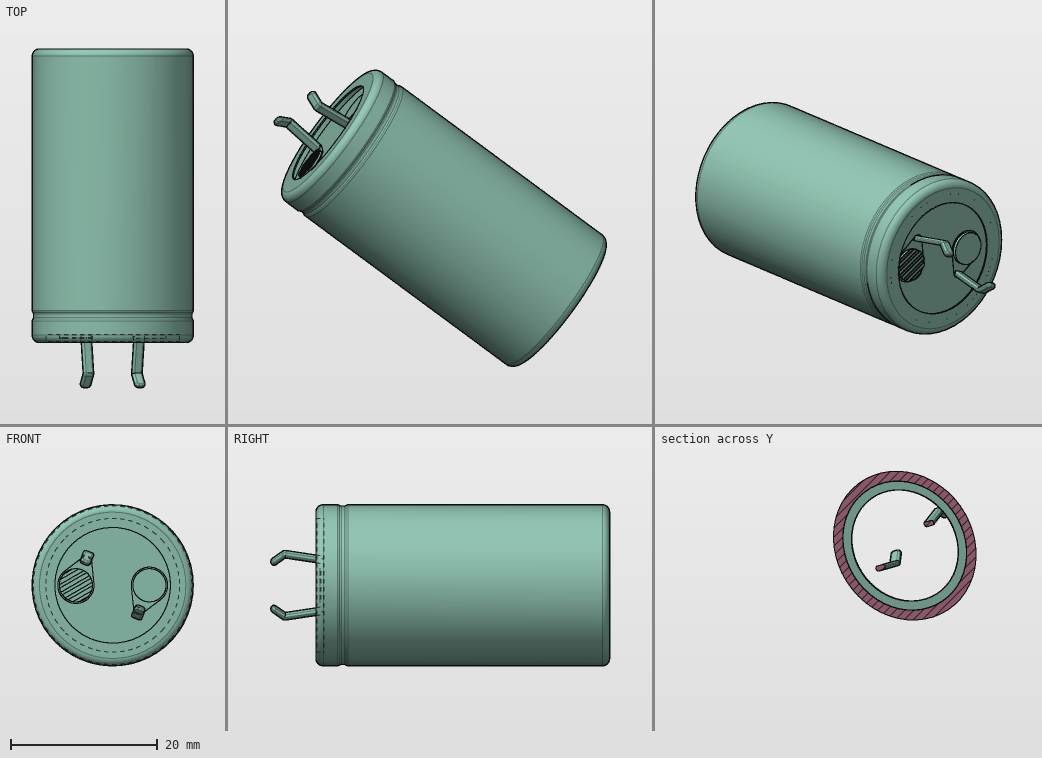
import cadquery as cq
import math


total_length = 46.15
can_length = 40.0
can_diameter = 21.95
end_rounding = 1.0

groove_diameter = 21.6
groove_start = 2.95
groove_flank = 0.5
groove_floor_width = 0.4

mouth_diameter = 15.75
pocket_diameter = 18.23
sleeve_thickness = 0.2
pocket_depth = 1.1

terminal_spacing = 10.0
rivet_diameter = 4.5
rivet_height = 0.5
lug_diameter = 4.95
lug_tip_diameter = 1.48
lug_tip_x = -3.6
lug_tip_z = 3.25
lug_thickness = 0.05

rib_groove_count = 5
rib_groove_width = 0.4
rib_groove_pitch = 0.95
rib_groove_depth = 0.15
rib_groove_angle = 30.0

pin_root_x = -3.55
pin_root_z = 3.6
pin_lean_angle = 68.0
pin_width = 1.48
pin_thickness = 0.75
pin_edge_rounding = 0.28
pin_tip_rounding = 0.5
pin_bend_rounding = 0.75
pin_bend_reach = 4.25
pin_bend_offset = 0.7
pin_hook_angle = 37.0

can_radius = can_diameter / 2
groove_radius = groove_diameter / 2
pin_reach = total_length - can_length
terminal_x = -terminal_spacing / 2


def make_can():
    """Turned can with rounded ends and a soft S-flanked groove near the terminals."""
    flank_mid_radius = (can_radius + groove_radius) / 2
    floor_start = groove_start + groove_flank
    floor_end = floor_start + groove_floor_width
    groove_end = floor_end + groove_flank
    return (
        cq.Workplane("XY")
        .lineTo(can_radius - end_rounding, 0)
        .radiusArc((can_radius, end_rounding), -end_rounding)
        .lineTo(can_radius, groove_start)
        .tangentArcPoint((flank_mid_radius, groove_start + groove_flank / 2), relative=False)
        .tangentArcPoint((groove_radius, floor_start), relative=False)
        .lineTo(groove_radius, floor_end)
        .tangentArcPoint((flank_mid_radius, floor_end + groove_flank / 2), relative=False)
        .tangentArcPoint((can_radius, groove_end), relative=False)
        .lineTo(can_radius, can_length - end_rounding)
        .radiusArc((can_radius - end_rounding, can_length), -end_rounding)
        .lineTo(0, can_length)
        .close()
        .revolve(360, (0, 0, 0), (0, 1, 0))
    )


def terminal_plane(height):
    """Sketch plane facing -Y, raised by height above the pocket floor."""
    return cq.Workplane("XZ", origin=(0, pocket_depth - height, 0))


def make_pocket():
    """Terminal pocket: the sleeve leaves a mouth narrower than the recess behind it."""
    recess_depth = pocket_depth - sleeve_thickness
    mouth = terminal_plane(0).circle(mouth_diameter / 2).extrude(pocket_depth)
    recess = terminal_plane(0).circle(pocket_diameter / 2).extrude(recess_depth)
    return mouth.union(recess)


def make_lug():
    """Thin teardrop plate that joins the rivet to the root of the pin."""
    big = lug_diameter / 2
    small = lug_tip_diameter / 2
    run_x = lug_tip_x - terminal_x
    run_z = lug_tip_z
    axis_angle = math.atan2(run_z, run_x)
    tangent_angle = math.acos((big - small) / math.hypot(run_x, run_z))

    def rim(x, z, radius, angle):
        return (x + radius * math.cos(angle), z + radius * math.sin(angle))

    left = axis_angle + tangent_angle
    right = axis_angle - tangent_angle
    return (
        terminal_plane(0)
        .moveTo(*rim(terminal_x, 0, big, left))
        .threePointArc(rim(terminal_x, 0, big, axis_angle + math.pi), rim(terminal_x, 0, big, right))
        .lineTo(*rim(lug_tip_x, lug_tip_z, small, right))
        .threePointArc(
            rim(lug_tip_x, lug_tip_z, small, axis_angle),
            rim(lug_tip_x, lug_tip_z, small, left),
        )
        .close()
        .extrude(lug_thickness)
    )


def make_rivet():
    return terminal_plane(0).center(terminal_x, 0).circle(rivet_diameter / 2).extrude(rivet_height)


def make_rib_grooves():
    """Parallel shallow grooves that mark the head of the negative rivet."""
    return (
        terminal_plane(rivet_height)
        .center(terminal_x, 0)
        .transformed(rotate=(0, 0, rib_groove_angle))
        .rarray(0.45, rib_groove_pitch, 1, rib_groove_count)
        .rect(rivet_diameter, rib_groove_width)
        .extrude(-rib_groove_depth)
    )


def make_pin():
    """Flat pin that leans sideways to a bend, then hooks back to its tip."""
    half = pin_thickness / 2
    lean = math.atan2(pin_bend_offset, pin_bend_reach)
    hook = math.radians(pin_hook_angle)

    mitre = (hook + lean) / 2
    mitre_half = half / math.cos(mitre)
    bisector = (hook - lean) / 2
    mitre_step = (mitre_half * math.cos(bisector), mitre_half * math.sin(bisector))
    bend = (pin_bend_offset, pin_bend_reach)

    tip_step = (half * math.cos(hook), half * math.sin(hook))
    flat_half = half - pin_edge_rounding
    tip_overhang = flat_half * math.sin(hook) + pin_edge_rounding * (1 - math.cos(hook))
    tip_reach = pin_reach - tip_overhang
    tip = (bend[0] - (tip_reach - bend[1]) * math.tan(hook), tip_reach)

    root = (-pocket_depth * math.tan(lean), -pocket_depth)
    root_half = half / math.cos(lean)

    lean_angle = math.radians(pin_lean_angle)
    plane = cq.Plane(
        origin=(pin_root_x, 0, pin_root_z),
        xDir=(math.cos(lean_angle), 0, math.sin(lean_angle)),
        normal=(math.sin(lean_angle), 0, -math.cos(lean_angle)),
    )
    outline = [
        (root[0] - root_half, root[1]),
        (bend[0] - mitre_step[0], bend[1] - mitre_step[1]),
        (tip[0] - tip_step[0], tip[1] - tip_step[1]),
        (tip[0] + tip_step[0], tip[1] + tip_step[1]),
        (bend[0] + mitre_step[0], bend[1] + mitre_step[1]),
        (root[0] + root_half, root[1]),
    ]
    flat_pin = cq.Workplane(plane).polyline(outline).close().extrude(pin_width / 2, both=True)

    outer_bend = cq.selectors.DirectionMinMaxSelector(plane.xDir, True)
    tip_corners = cq.selectors.ParallelDirSelector(
        plane.xDir * math.cos(hook) + plane.yDir * math.sin(hook)
    )
    narrow_sides = cq.selectors.ParallelDirSelector(plane.zDir)
    return (
        flat_pin
        .edges(outer_bend).fillet(pin_bend_rounding)
        .edges(tip_corners).fillet(pin_tip_rounding)
        .faces(narrow_sides).edges().fillet(pin_edge_rounding)
    )


def half_turn(body):
    return body.rotate((0, 0, 0), (0, 1, 0), 180)


terminal = make_lug().union(make_rivet()).union(make_pin())

result = (
    make_can()
    .cut(make_pocket())
    .union(terminal)
    .union(half_turn(terminal))
    .cut(make_rib_grooves())
)